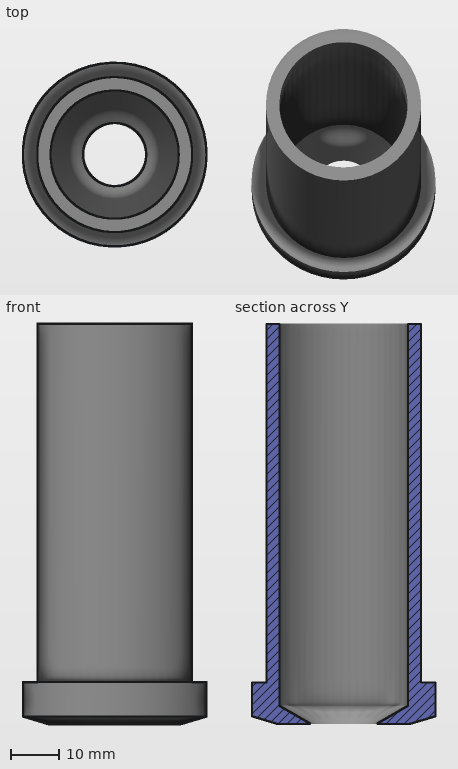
import cadquery as cq

total_height = 82.7
tube_diameter = 32.0
bore_diameter = 26.5
outlet_diameter = 13.0

flange_diameter = 38.0
flange_top = 8.8
bevel_height = 1.65
foot_diameter = 26.9

seat_height = 3.9

tube_radius = tube_diameter / 2
bore_radius = bore_diameter / 2
outlet_radius = outlet_diameter / 2
flange_radius = flange_diameter / 2
foot_radius = foot_diameter / 2

half_section = (
    cq.Workplane("XZ")
    .moveTo(outlet_radius, 0)
    .lineTo(foot_radius, 0)
    .lineTo(flange_radius, bevel_height)
    .lineTo(flange_radius, flange_top)
    .lineTo(tube_radius, flange_top)
    .lineTo(tube_radius, total_height)
    .lineTo(bore_radius, total_height)
    .lineTo(bore_radius, seat_height)
    .close()
)

result = half_section.revolve(360, (0, 0, 0), (0, 1, 0))